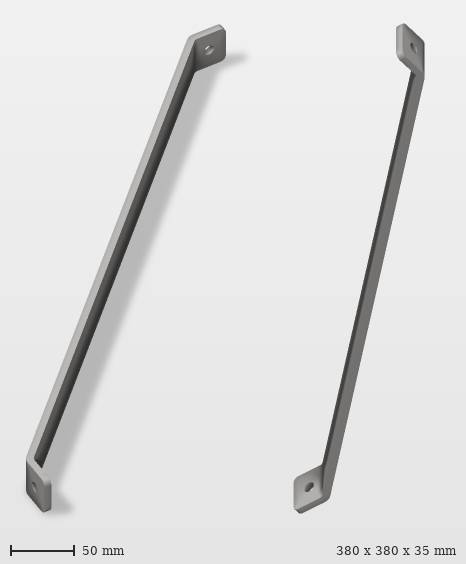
import cadquery as cq
import math

span = 380.0
height = 35.0
thickness = 6.0
bend_angle = 45.0
inner_bend_radius = 5.0
flat_tab_length = 26.0
corner_radius = 5.0
hole_diameter = 9.0
hole_end_distance = 15.2

outer_bend_radius = inner_bend_radius + thickness
half_bend_tangent = math.tan(math.radians(bend_angle / 2))
outer_tab_length = flat_tab_length + outer_bend_radius * half_bend_tangent
inner_tab_length = outer_tab_length - thickness * half_bend_tangent
outer_corner = span - outer_tab_length
inner_corner = span - inner_tab_length


def make_strap():
    """Extrude the bent strip, symmetric about the line X = Y, and round its bends."""
    strap = (
        cq.Workplane("XY")
        .moveTo(span, 0)
        .lineTo(outer_corner, 0)
        .lineTo(0, outer_corner)
        .lineTo(0, span)
        .lineTo(thickness, span)
        .lineTo(thickness, inner_corner)
        .lineTo(inner_corner, thickness)
        .lineTo(span, thickness)
        .close()
        .extrude(height)
    )
    outer_bends = [(outer_corner, 0), (0, outer_corner)]
    inner_bends = [(inner_corner, thickness), (thickness, inner_corner)]
    for bends, radius in [(outer_bends, outer_bend_radius), (inner_bends, inner_bend_radius)]:
        for x, y in bends:
            edge_middle = (x, y, height / 2)
            strap = strap.edges(cq.selectors.NearestToPointSelector(edge_middle)).fillet(radius)
    return strap


def round_tab_corners(strap):
    """Round the upper and lower corners at the free end of each tab."""
    strap = strap.faces(">X").edges("|Y").fillet(corner_radius)
    return strap.faces(">Y").edges("|X").fillet(corner_radius)


def drill_tabs(strap):
    """Drill one hole through each tab at mid height."""
    hole_position = span - hole_end_distance
    hole_radius = hole_diameter / 2
    x_tab_hole = cq.Solid.makeCylinder(
        hole_radius, thickness, cq.Vector(hole_position, 0, height / 2), cq.Vector(0, 1, 0)
    )
    y_tab_hole = cq.Solid.makeCylinder(
        hole_radius, thickness, cq.Vector(0, hole_position, height / 2), cq.Vector(1, 0, 0)
    )
    return strap.cut(x_tab_hole).cut(y_tab_hole)


result = drill_tabs(round_tab_corners(make_strap()))